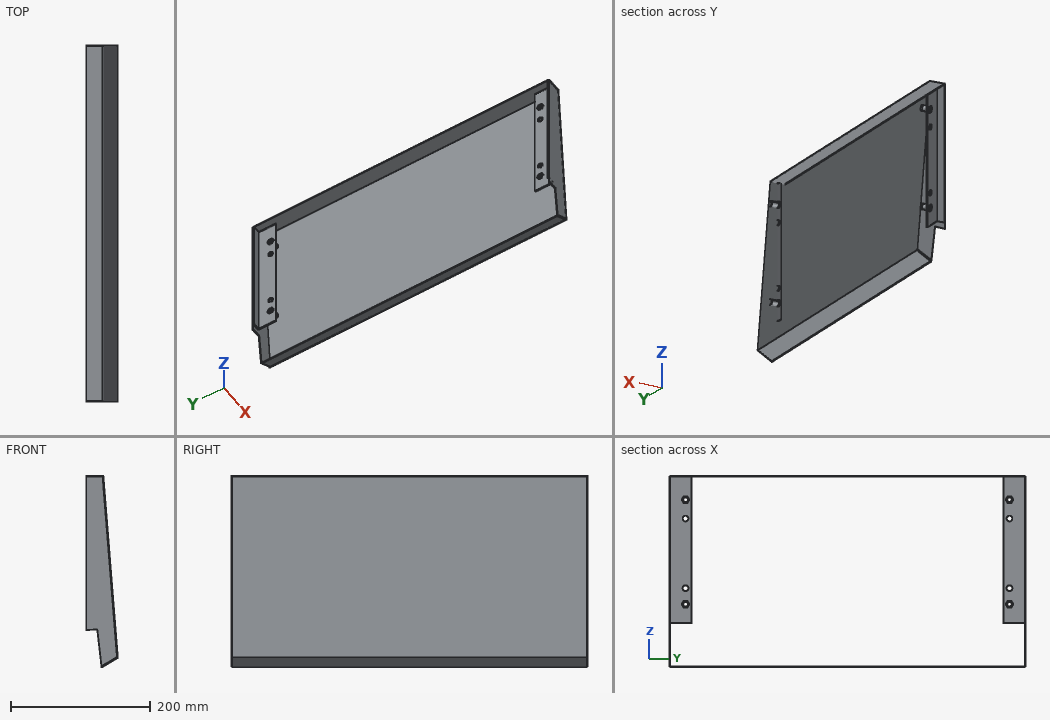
import cadquery as cq
import math

cover_width = 512.2
cover_height = 275.34
sheet = 1.5
bend_radius = 1.6
top_depth = 24.9
panel_foot_x = 45.76
panel_foot_z = 13.9
tip_x = 22.1
notch_x = 15.9
notch_z = 54.5
lip_z = 53.5

angle_sheet = 1.8
angle_bend_radius = 2.0
angle_depth = 13.0
angle_width = 31.0
angle_height = 210.0
hole_inset = 23.6
plain_hole_diameter = 8.0
first_plain_drop = 61.5
plain_hole_pitch = 100.0
first_standoff_drop = 34.5
standoff_pitch = 150.0

head_flats = 9.5
head_corners = head_flats / math.cos(math.pi / 6)
barrel_diameter = 9.0
bore_diameter = 6.5
bore_depth = 12.0
standoff_length = 14.0

half_width = cover_width / 2
side_inner_y = half_width - sheet
top_inner_z = cover_height - sheet
web_x = angle_depth - angle_sheet
hole_y = half_width - hole_inset
plain_hole_zs = [cover_height - first_plain_drop - i * plain_hole_pitch for i in range(2)]
standoff_zs = [cover_height - first_standoff_drop - i * standoff_pitch for i in range(2)]

panel_slope = (panel_foot_x - top_depth) / (cover_height - panel_foot_z)
foot_slope = panel_foot_z / (panel_foot_x - tip_x)


def panel_inner_x(z):
    """X of the inner face of the panel at height z."""
    outer_x = top_depth + (cover_height - z) * panel_slope
    return outer_x - sheet * math.hypot(1, panel_slope)


def foot_inner_z(x):
    """Z of the inner face of the foot at depth x."""
    return (x - tip_x) * foot_slope + sheet * math.hypot(1, foot_slope)


def extrude_across(points, half_length):
    """Prism along Y from an XZ outline, centred on the XZ plane."""
    return cq.Workplane("XZ").polyline(points).close().extrude(half_length, both=True)


def round_panel_edges(block):
    """Bend the sheet round the four edges of the sloping panel."""
    panel_normal = cq.Vector(1, 0, panel_slope)
    panel = block.faces(cq.selectors.ParallelDirSelector(panel_normal))
    return panel.edges().fillet(bend_radius)


def make_cavity():
    """Space inside the tray, running out through its open side."""
    open_x = -panel_foot_x
    corner_x = panel_inner_x(foot_inner_z(0)) / (1 + panel_slope * foot_slope)
    cavity_outline = [
        (open_x, top_inner_z),
        (panel_inner_x(top_inner_z), top_inner_z),
        (corner_x, foot_inner_z(corner_x)),
        (open_x, foot_inner_z(open_x)),
    ]
    return extrude_across(cavity_outline, side_inner_y)


def make_corner_reliefs():
    """Strips cleared where the top and the foot meet the sides, stopping short of the panel bend."""
    top_end_x = top_depth - bend_radius
    foot_end_x = panel_foot_x - bend_radius
    top_strip = [
        (0, cover_height),
        (top_end_x, cover_height),
        (top_end_x, top_inner_z),
        (0, top_inner_z),
    ]
    foot_strip = [
        (0, foot_inner_z(0)),
        (foot_end_x, foot_inner_z(foot_end_x)),
        (foot_end_x, 0),
        (0, foot_inner_z(0) - panel_foot_z),
    ]
    reliefs = cq.Workplane("XY")
    for strip in (top_strip, foot_strip):
        end_pieces = extrude_across(strip, half_width).cut(extrude_across(strip, side_inner_y))
        reliefs = reliefs.add(end_pieces)
    return reliefs.combine()


def make_cover():
    side_outline = [
        (0, cover_height),
        (top_depth, cover_height),
        (panel_foot_x, panel_foot_z),
        (tip_x, 0),
        (notch_x, notch_z),
        (0, lip_z),
    ]
    block = round_panel_edges(extrude_across(side_outline, half_width))
    return block.cut(make_cavity()).cut(make_corner_reliefs())


def hexagon_head():
    """Standoff head at the origin, corners pointing along Y."""
    return cq.Workplane("YZ").polygon(6, head_corners).extrude(angle_sheet)


def make_angle(side):
    """Angle against the +Y side (side = 1) or the -Y side (side = -1)."""
    profile = [
        (0, 0),
        (angle_depth, 0),
        (angle_depth, -angle_width),
        (web_x, -angle_width),
        (web_x, -angle_sheet),
        (0, -angle_sheet),
    ]
    angle = (
        cq.Workplane("XY")
        .polyline(profile)
        .close()
        .extrude(-angle_height)
        .edges("|Z and >X and >Y")
        .fillet(angle_bend_radius)
        .translate((0, side_inner_y, top_inner_z))
    )
    plain_points = [(hole_y, z) for z in plain_hole_zs]
    plain_holes = cq.Workplane("YZ").pushPoints(plain_points).circle(plain_hole_diameter / 2)
    angle = angle.cut(plain_holes.extrude(angle_depth))
    for z in standoff_zs:
        angle = angle.cut(hexagon_head().translate((web_x, hole_y, z)))
    return angle if side > 0 else angle.mirror("XZ")


def make_standoff(y, z):
    barrel = cq.Workplane("YZ").circle(barrel_diameter / 2).extrude(standoff_length)
    bore = cq.Workplane("YZ").circle(bore_diameter / 2).extrude(bore_depth)
    return hexagon_head().union(barrel).cut(bore).translate((web_x, y, z))


cover = make_cover()
angles = [make_angle(side) for side in (1, -1)]
standoffs = [make_standoff(side * hole_y, z) for side in (1, -1) for z in standoff_zs]

bodies = [cover, *angles, *standoffs]
result = cq.Compound.makeCompound([body.val() for body in bodies])